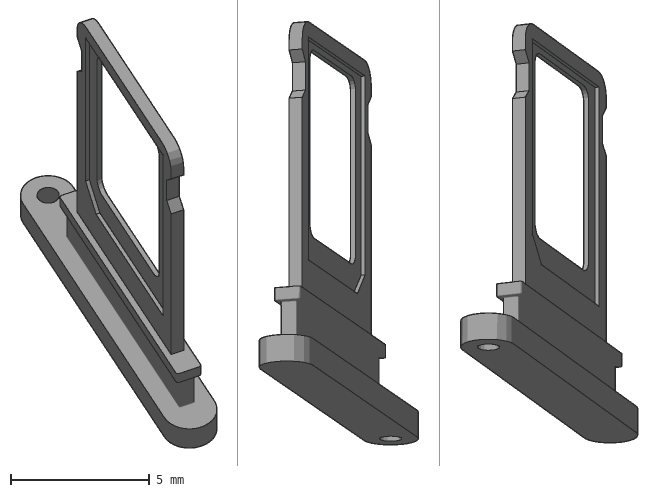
import cadquery as cq

base_length = 14.0
base_depth = 2.0
base_height = 1.0
hole_diameter = 0.8
base_end_offset = (base_length - base_depth) / 2

frame_center_x = 1.0
collar_length = 10.0
collar_depth = 1.0
collar_corner_radius = 0.1
collar_bottom_z = 2.5
collar_top_z = 3.0
neck_inset = 0.2
neck_length = collar_length - 2 * neck_inset
neck_depth = collar_depth - 2 * neck_inset
edge_radius = 0.05

frame_width = 8.0
frame_thickness = 0.5
frame_top_z = 13.2
frame_corner_radius = 0.8
frame_front_y = -frame_thickness / 2

notch_depth = 0.38
notch_start = 1.18
notch_floor_start = 1.57
notch_floor_end = 2.62
notch_end = 2.97

pocket_width = 6.57
pocket_top = 0.57
pocket_bottom = 8.85
pocket_chamfer = 0.9
pocket_depth = 0.15
window_width = 5.29
window_top = 0.81
window_bottom = 7.78
window_corner_radius = 0.5


def upright_plane(y):
    """XZ plane at the given Y, centered on the frame, extruding toward +Y for negative distances."""
    return cq.Workplane("XZ", origin=(frame_center_x, y, 0))


def make_base():
    base = cq.Workplane("XY").slot2D(base_length, base_depth).extrude(base_height)
    hole = cq.Workplane("XY").center(-base_end_offset, 0).circle(hole_diameter / 2).extrude(base_height)
    return base.cut(hole)


def make_block(length, depth, bottom_z, top_z, corner_radius):
    """Block centered on the frame, with rounded vertical edges."""
    block = cq.Workplane("XY", origin=(frame_center_x, 0, bottom_z)).rect(length, depth)
    return block.extrude(top_z - bottom_z).edges("|Z").fillet(corner_radius)


def make_collar():
    collar = make_block(collar_length, collar_depth, collar_bottom_z, collar_top_z, collar_corner_radius)
    return collar.faces("<Z").edges().fillet(edge_radius)


def make_neck():
    return make_block(neck_length, neck_depth, base_height, collar_bottom_z, edge_radius)


def make_frame_plate():
    height = frame_top_z - collar_top_z
    plate = upright_plane(frame_front_y).center(0, collar_top_z + height / 2).rect(frame_width, height)
    return plate.extrude(-frame_thickness).edges("|Y and >Z").fillet(frame_corner_radius)


def make_notch(side):
    """Trapezoidal notch in the frame edge; side is -1 for left, +1 for right."""
    edge_x = side * frame_width / 2
    floor_x = edge_x - side * notch_depth
    outline = [
        (edge_x, frame_top_z - notch_start),
        (floor_x, frame_top_z - notch_floor_start),
        (floor_x, frame_top_z - notch_floor_end),
        (edge_x, frame_top_z - notch_end),
    ]
    return upright_plane(frame_front_y).polyline(outline).close().extrude(-frame_thickness)


def make_pocket(start_y):
    """Card-shaped recess starting at the given Y, with one clipped corner at -X, -Z."""
    half_width = pocket_width / 2
    top_z = frame_top_z - pocket_top
    bottom_z = frame_top_z - pocket_bottom
    outline = [
        (-half_width, top_z),
        (half_width, top_z),
        (half_width, bottom_z),
        (-half_width + pocket_chamfer, bottom_z),
        (-half_width, bottom_z + pocket_chamfer),
    ]
    return upright_plane(start_y).polyline(outline).close().extrude(-pocket_depth)


def make_window():
    height = window_bottom - window_top
    center_z = frame_top_z - (window_top + window_bottom) / 2
    window = upright_plane(frame_front_y).center(0, center_z).rect(window_width, height)
    return window.extrude(-frame_thickness).edges("|Y").fillet(window_corner_radius)


frame = make_frame_plate().cut(make_window())
for pocket_start_y in (frame_front_y, -frame_front_y - pocket_depth):
    frame = frame.cut(make_pocket(pocket_start_y))
for side in (-1, 1):
    frame = frame.cut(make_notch(side))

stem = make_base().union(make_neck()).union(make_collar())

joint_half_length = neck_length / 2 + edge_radius
joint_half_depth = neck_depth / 2 + edge_radius
joint_half_height = edge_radius / 2
for joint_z in (base_height, collar_bottom_z):
    joint = cq.selectors.BoxSelector(
        (frame_center_x - joint_half_length, -joint_half_depth, joint_z - joint_half_height),
        (frame_center_x + joint_half_length, joint_half_depth, joint_z + joint_half_height),
        boundingbox=True,
    )
    stem = stem.edges(joint).fillet(edge_radius)

result = stem.union(frame)